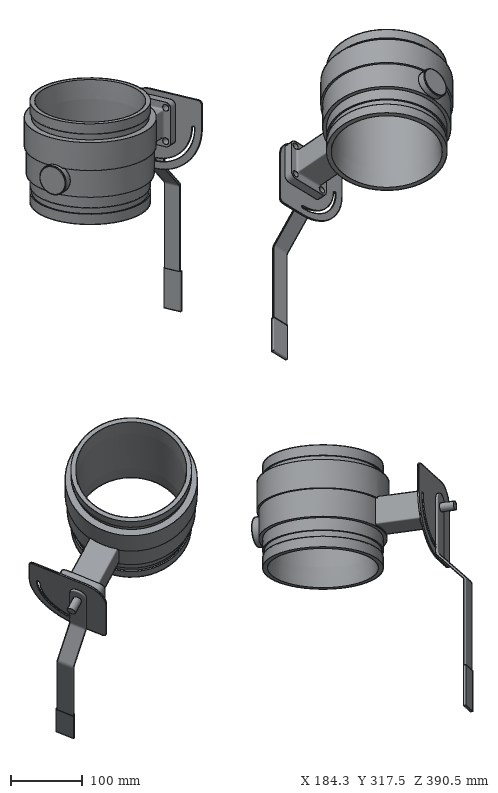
import cadquery as cq
import math


OVERALL_HEIGHT = 390.5

BODY_TOP = 85.5
BODY_BOTTOM = -66.5
END_RING_HEIGHT = 15.5
GROOVE_HEIGHT = 9.5
PIPE_DIAMETER = 168.3
GROOVE_DIAMETER = 164.0
LARGE_DIAMETER = 184.3
MIDDLE_DIAMETER = 178.8
LARGE_BOTTOM = 18.5
MIDDLE_BOTTOM = -23.0
BORE_DIAMETER = 150.5
MOUTH_DIAMETER = 154.5
MOUTH_DEPTH = 29.0

CAP_DIAMETER = 43.5
CAP_FACE = -98.8
CAP_CHAMFER = 1.0

NECK_WIDTH = 43.5
NECK_HEIGHT = 41.8
NECK_EDGE_RADIUS = 2.0
NECK_ROOT_RADIUS = 2.7
FLANGE_FACE = 157.7
FLANGE_BACK = 170.5
FLANGE_SIDE = 67.0
FLANGE_CORNER_RADIUS = 8.5
BOLT_PITCH = 50.5
BOLT_HOLE_DIAMETER = 9.8

PLATE_THICKNESS = 2.5
PLATE_SHORT = 41.8
PLATE_RADIUS = 76.0
PLATE_LARGE_CORNER = 31.5
PLATE_SMALL_CORNER = 6.0
SLOT_RADIUS = 62.5
SLOT_WIDTH = 5.0
SLOT_END_ANGLE = 1.5

STEM_DIAMETER = 13.0
STEM_END = 197.0
HANDLE_WIDTH = 25.0
HANDLE_THICKNESS = 3.5
HANDLE_TOP = 20.5
HANDLE_BEND_HEIGHT = -72.0
HANDLE_OFFSET = 41.8
HANDLE_BEND_ANGLE = 45
HANDLE_BEND_RADIUS = 6.0
HANDLE_EDGE_RADIUS = 0.98

GRIP_TOP = -244.5
GRIP_BOTTOM = BODY_TOP - OVERALL_HEIGHT
GRIP_WIDTH = 27.5
GRIP_THICKNESS = 4.3
GRIP_EDGE_RADIUS = 1.0

PLATE_BACK = FLANGE_BACK + PLATE_THICKNESS


def disc(diameter, bottom, top):
    """Cylinder about Z between two heights."""
    return cq.Workplane("XY", origin=(0, 0, bottom)).circle(diameter / 2).extrude(top - bottom)


def xz_plane_at(y):
    """Plane facing +Y at the given Y; its local axes are -X and Z."""
    return cq.Workplane(cq.Plane(origin=(0, y, 0), xDir=(-1, 0, 0), normal=(0, 1, 0)))


def make_body():
    body = disc(GROOVE_DIAMETER, BODY_BOTTOM, BODY_TOP)
    body = body.union(disc(PIPE_DIAMETER, BODY_TOP - END_RING_HEIGHT, BODY_TOP))
    lower_ring_top = BODY_BOTTOM + END_RING_HEIGHT
    body = body.union(disc(PIPE_DIAMETER, BODY_BOTTOM, lower_ring_top))
    body = body.union(disc(PIPE_DIAMETER, lower_ring_top + GROOVE_HEIGHT, MIDDLE_BOTTOM))
    body = body.union(disc(MIDDLE_DIAMETER, MIDDLE_BOTTOM, LARGE_BOTTOM))
    large_top = BODY_TOP - END_RING_HEIGHT - GROOVE_HEIGHT
    return body.union(disc(LARGE_DIAMETER, LARGE_BOTTOM, large_top))


def make_bore():
    """Through bore with a slightly tapered mouth at each end."""
    mouth = MOUTH_DIAMETER / 2
    bore = BORE_DIAMETER / 2
    profile = [
        (0, BODY_BOTTOM),
        (mouth, BODY_BOTTOM),
        (bore, BODY_BOTTOM + MOUTH_DEPTH),
        (bore, BODY_TOP - MOUTH_DEPTH),
        (mouth, BODY_TOP),
        (0, BODY_TOP),
    ]
    return cq.Workplane("XZ").polyline(profile).close().revolve(360, (0, 0), (0, 1))


def make_cap():
    cap = xz_plane_at(CAP_FACE).circle(CAP_DIAMETER / 2).extrude(-CAP_FACE)
    return cap.faces("<Y").chamfer(CAP_CHAMFER)


def rounded_bar(width, height, radius, start, end):
    """Rectangular bar along Y, centred on the stem axis, with rounded long edges."""
    bar = xz_plane_at(start).rect(width, height).extrude(end - start)
    return bar.edges("|Y").fillet(radius)


def make_neck_and_flange():
    flange = rounded_bar(FLANGE_SIDE, FLANGE_SIDE, FLANGE_CORNER_RADIUS, FLANGE_FACE, FLANGE_BACK)
    neck = rounded_bar(NECK_WIDTH, NECK_HEIGHT, NECK_EDGE_RADIUS, 0, FLANGE_FACE)
    joined = neck.union(flange)
    reach = (NECK_WIDTH + FLANGE_SIDE) / 4
    root_zone = cq.selectors.BoxSelector(
        (-reach, FLANGE_FACE - NECK_ROOT_RADIUS, -reach),
        (reach, FLANGE_FACE + NECK_ROOT_RADIUS, reach),
    )
    joined = joined.edges(root_zone).fillet(NECK_ROOT_RADIUS)
    holes = (
        xz_plane_at(FLANGE_FACE - NECK_ROOT_RADIUS)
        .rect(BOLT_PITCH, BOLT_PITCH, forConstruction=True)
        .vertices()
        .circle(BOLT_HOLE_DIAMETER / 2)
        .extrude(FLANGE_BACK - FLANGE_FACE + NECK_ROOT_RADIUS)
    )
    return joined.cut(holes)


def make_plate():
    diagonal = PLATE_RADIUS * math.sqrt(0.5)
    plate = (
        cq.Workplane("XZ", origin=(0, PLATE_BACK, 0))
        .moveTo(-PLATE_SHORT, PLATE_SHORT)
        .lineTo(-PLATE_SHORT, -PLATE_RADIUS)
        .lineTo(0, -PLATE_RADIUS)
        .threePointArc((diagonal, -diagonal), (PLATE_RADIUS, 0))
        .lineTo(PLATE_RADIUS, PLATE_SHORT)
        .close()
        .extrude(PLATE_THICKNESS)
    )
    corners = [
        ("<X", ">Z", PLATE_LARGE_CORNER),
        ("<X", "<Z", PLATE_SMALL_CORNER),
        (">X", ">Z", PLATE_SMALL_CORNER),
    ]
    for side, height, radius in corners:
        plate = plate.edges("|Y").edges(side).edges(height).fillet(radius)
    return plate


def stem_polar(radius, degrees):
    """X and Z of a point around the stem axis; the angle runs from +X toward +Z."""
    angle = math.radians(degrees)
    return radius * math.cos(angle), radius * math.sin(angle)


def make_slot():
    """Arc slot about the stem axis for the quarter turn between +X and -Z, with round ends."""
    inner = SLOT_RADIUS - SLOT_WIDTH / 2
    outer = SLOT_RADIUS + SLOT_WIDTH / 2
    start = -SLOT_END_ANGLE
    end = SLOT_END_ANGLE - 90
    middle = (start + end) / 2
    cap_angle = math.degrees(SLOT_WIDTH / 2 / SLOT_RADIUS)
    return (
        cq.Workplane("XZ", origin=(0, PLATE_BACK, 0))
        .moveTo(*stem_polar(inner, start))
        .threePointArc(stem_polar(inner, middle), stem_polar(inner, end))
        .threePointArc(stem_polar(SLOT_RADIUS, end - cap_angle), stem_polar(outer, end))
        .threePointArc(stem_polar(outer, middle), stem_polar(outer, start))
        .threePointArc(stem_polar(SLOT_RADIUS, start + cap_angle), stem_polar(inner, start))
        .close()
        .extrude(PLATE_THICKNESS)
    )


def make_handle():
    """Flat strap that steps away from the body, with a round upper end."""
    half_angle = math.radians(HANDLE_BEND_ANGLE / 2)
    corner_shift = HANDLE_THICKNESS * math.tan(half_angle)
    drop = HANDLE_OFFSET / math.tan(math.radians(HANDLE_BEND_ANGLE))
    round_center = HANDLE_TOP - HANDLE_WIDTH / 2
    strap_bottom = GRIP_BOTTOM + GRIP_EDGE_RADIUS
    near = PLATE_BACK
    far = near + HANDLE_OFFSET
    upper = HANDLE_BEND_HEIGHT
    lower = upper - drop
    profile = [
        (near, round_center),
        (near, upper - corner_shift),
        (far, lower - corner_shift),
        (far, strap_bottom),
        (far + HANDLE_THICKNESS, strap_bottom),
        (far + HANDLE_THICKNESS, lower),
        (near + HANDLE_THICKNESS, upper),
        (near + HANDLE_THICKNESS, round_center),
    ]
    strap = cq.Workplane("YZ").polyline(profile).close().extrude(HANDLE_WIDTH / 2, both=True)

    inner_radius = HANDLE_BEND_RADIUS
    outer_radius = HANDLE_BEND_RADIUS + HANDLE_THICKNESS
    bends = [
        (profile[1], outer_radius),
        (profile[2], inner_radius),
        (profile[5], outer_radius),
        (profile[6], inner_radius),
    ]
    for (y, z), radius in bends:
        strap = strap.edges(cq.selectors.NearestToPointSelector((0, y, z))).fillet(radius)

    round_end = (
        xz_plane_at(near)
        .center(0, round_center)
        .circle(HANDLE_WIDTH / 2)
        .extrude(HANDLE_THICKNESS)
    )
    handle = strap.union(round_end)
    return handle.faces(">Y").edges("|Z").fillet(HANDLE_EDGE_RADIUS)


def make_grip():
    center_y = PLATE_BACK + HANDLE_OFFSET + HANDLE_THICKNESS / 2
    height = GRIP_TOP - GRIP_BOTTOM
    grip = cq.Workplane("XY").box(GRIP_WIDTH, GRIP_THICKNESS, height)
    grip = grip.edges("<Y").edges("|Z or <Z").fillet(GRIP_EDGE_RADIUS)
    return grip.translate((0, center_y, GRIP_BOTTOM + height / 2))


def make_stem():
    return xz_plane_at(FLANGE_FACE).circle(STEM_DIAMETER / 2).extrude(STEM_END - FLANGE_FACE)


body = make_body().union(make_cap()).union(make_neck_and_flange()).cut(make_bore())
plate = make_plate().cut(make_slot())
lever = make_handle().union(make_grip())
result = body.union(plate).union(lever).union(make_stem())